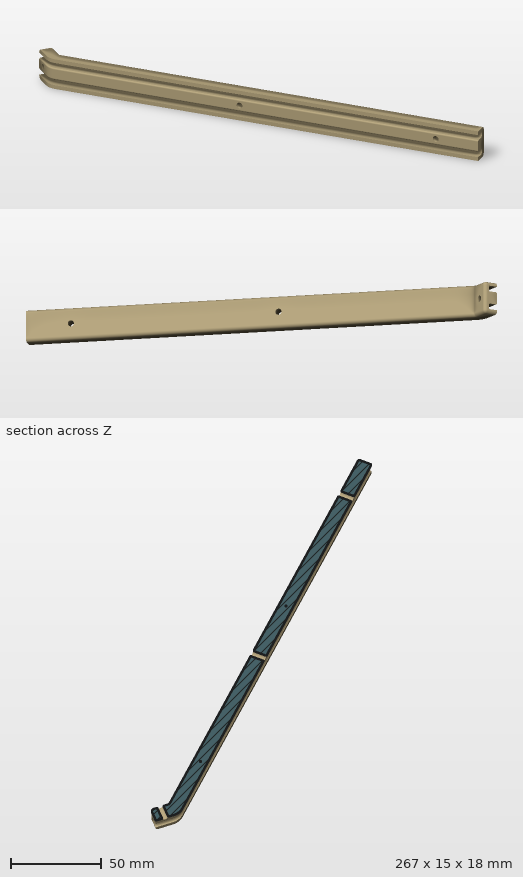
import cadquery as cq
import math

length = 267.0
height = 18.0
depth = 8.0
overall_depth = 15.0
bend_angle = 45.0
bend_radius = 9.0
wall = 2.27
groove_width = 3.2
groove_depth = 5.3
groove_floor_diameter = 6.0
rib_edge_radius = 0.8
edge_radius = 2.0
hole_diameter = 3.5
hole_positions = (124.2, 241.7)
leg_hole_offset = 5.5

angle = math.radians(bend_angle)
rounding_loss = edge_radius * (math.sin(angle) + math.cos(angle) - 1)
tip_y = overall_depth + rounding_loss - depth * math.cos(angle)
corner_x = tip_y / math.tan(angle)
tangent_length = bend_radius * math.tan(angle / 2)
bend_x = corner_x + tangent_length
leg_length = tip_y / math.sin(angle) - tangent_length
groove_center = height / 2 - wall - groove_width / 2
rib_half = groove_center - groove_width / 2
bend_start = cq.Plane(origin=(bend_x, 0, 0), xDir=(0, 1, 0), normal=(1, 0, 0))


def block_profile(plane):
    """Rail section with rounded back edges; local x of the plane runs front to back."""
    half = height / 2
    arc_step = edge_radius * (1 - math.sqrt(0.5))
    return (
        cq.Workplane(plane)
        .moveTo(0, -half)
        .lineTo(depth - edge_radius, -half)
        .threePointArc((depth - arc_step, -half + arc_step), (depth, -half + edge_radius))
        .lineTo(depth, half - edge_radius)
        .threePointArc((depth - arc_step, half - arc_step), (depth - edge_radius, half))
        .lineTo(0, half)
        .close()
    )


def groove_profile(plane, center):
    """Groove section with a shallow concave floor and a flared rib edge."""
    side = 1 if center > 0 else -1
    rib_z = side * rib_half
    wall_z = rib_z + side * groove_width
    floor_radius = groove_floor_diameter / 2
    floor_rise = floor_radius - math.sqrt(floor_radius**2 - (groove_width / 2) ** 2)
    arc_step = rib_edge_radius * (1 - math.sqrt(0.5))
    return (
        cq.Workplane(plane)
        .moveTo(0, wall_z)
        .lineTo(groove_depth - floor_rise, wall_z)
        .threePointArc((groove_depth, center), (groove_depth - floor_rise, rib_z))
        .lineTo(rib_edge_radius, rib_z)
        .threePointArc((arc_step, rib_z - side * arc_step), (0, rib_z - side * rib_edge_radius))
        .close()
    )


def run_straight_and_bend(profile):
    """Run a section along the straight rail and around the bend."""
    straight = profile(bend_start).extrude(length - bend_x)
    bend = profile(bend_start).revolve(bend_angle, (bend_radius, 0, 0), (bend_radius, -1, 0))
    return straight.union(bend)


def turn_into_leg(solid):
    """Turn a solid that continues the straight rail into the direction of the leg."""
    return solid.rotate((bend_x, bend_radius, 0), (bend_x, bend_radius, 1), -bend_angle)


def leg_block():
    """Leg with its back edges and tip edges rounded, except along the front face."""
    block = cq.Workplane("XY").box(leg_length, depth, height, centered=(False, False, True))
    block = block.edges("(|X and >Y) or (<X and (not <Y))").fillet(edge_radius)
    return turn_into_leg(block.translate((bend_x - leg_length, 0, 0)))


def groove(center):
    """Groove through the straight rail, the bend and the leg."""
    def profile(plane):
        return groove_profile(plane, center)

    return run_straight_and_bend(profile).union(turn_into_leg(profile(bend_start).extrude(-leg_length)))


def hole(x, y, direction):
    """Round through hole starting on the front face."""
    plane = cq.Plane(origin=(x, y, 0), xDir=(0, 0, 1), normal=direction)
    return cq.Workplane(plane).circle(hole_diameter / 2).extrude(2 * depth, both=True)


body = run_straight_and_bend(block_profile).union(leg_block())

for center in (-groove_center, groove_center):
    body = body.cut(groove(center))

for x in hole_positions:
    body = body.cut(hole(x, 0, (0, 1, 0)))
leg_hole_x = leg_hole_offset * math.cos(angle)
leg_hole_y = tip_y - leg_hole_offset * math.sin(angle)
body = body.cut(hole(leg_hole_x, leg_hole_y, (math.sin(angle), math.cos(angle), 0)))

result = body